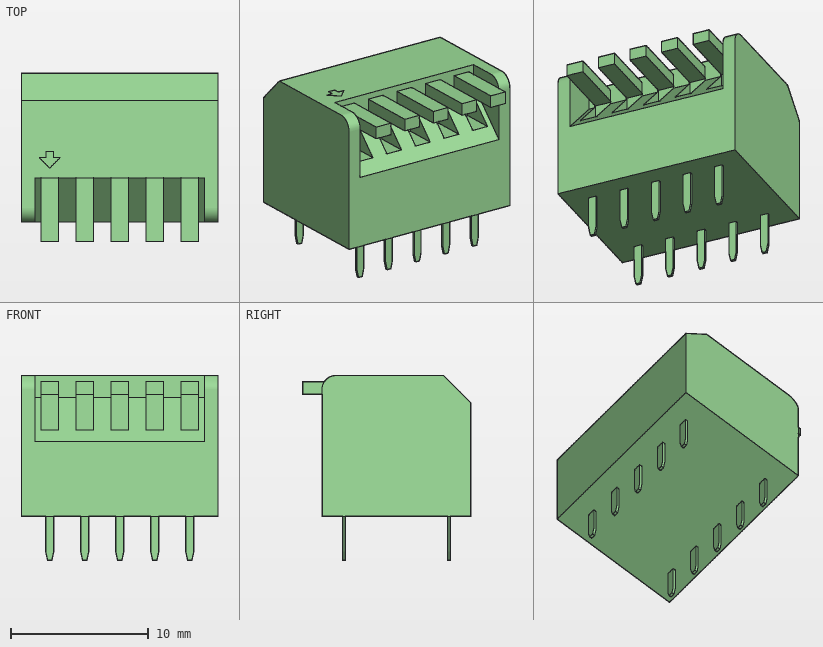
import cadquery as cq

width = 14.26
depth = 10.8
height = 10.22
back_chamfer = 2.0
front_radius = 1.0

side_wall = 0.98
recess_depth = 3.2
recess_back_height = 1.6
recess_back_bottom = height - recess_back_height
recess_front_bottom = recess_back_bottom - recess_depth

switch_count = 5
pitch = 2.54
switch_positions = [(i - (switch_count - 1) / 2) * pitch for i in range(switch_count)]

lever_width = 1.3
lever_height = 0.91
lever_top_drop = 0.45
lever_top = height - lever_top_drop
lever_overhang = 1.41
slot_bottom_drop = 3.95
slot_bottom = height - slot_bottom_drop
slot_undercut = 0.14
slot_back = recess_depth + slot_undercut

pitches_between_rows = 3
pin_row_spacing = pitches_between_rows * pitch
pin_width = 0.6
pin_thickness = 0.2
pin_length = 3.18
pin_tip_width = 0.33
pin_taper_length = 0.63

arrow_gap = 0.71
arrow_head_width = 1.51
arrow_head_length = 0.75
arrow_stem_width = 0.54
arrow_length = 1.21
arrow_engraving = 0.01


def make_housing():
    """Block with a chamfered top back edge and a rounded top front edge."""
    block = cq.Workplane("XY").box(width, depth, height, centered=(True, False, False))
    block = block.edges(">Y and >Z").chamfer(back_chamfer)
    return block.edges("<Y and >Z").fillet(front_radius)


def make_recess():
    """Cutter for the recess between the side walls, open to the front and the top."""
    recess_width = width - 2 * side_wall
    return (
        cq.Workplane("YZ")
        .moveTo(0, recess_front_bottom)
        .lineTo(recess_depth, recess_back_bottom)
        .lineTo(recess_depth, height)
        .lineTo(0, height)
        .close()
        .extrude(recess_width / 2, both=True)
    )


def make_slot(x):
    """Cutter for the slot that a lever slides in."""
    slot = cq.Workplane("XY").box(
        lever_width, slot_back, lever_top - slot_bottom, centered=(True, False, False)
    )
    return slot.translate((x, 0, slot_bottom))


def make_lever(x):
    """Straight bar from the back of its slot to beyond the front face."""
    lever = cq.Workplane("XY").box(
        lever_width, slot_back + lever_overhang, lever_height, centered=(True, False, False)
    )
    return lever.translate((x, -lever_overhang, lever_top - lever_height))


def make_pin(x, y):
    """Flat pin below the housing with a tip tapered in width."""
    taper_start = pin_taper_length - pin_length
    return (
        cq.Workplane("XZ")
        .polyline([
            (-pin_width / 2, 0),
            (pin_width / 2, 0),
            (pin_width / 2, taper_start),
            (pin_tip_width / 2, -pin_length),
            (-pin_tip_width / 2, -pin_length),
            (-pin_width / 2, taper_start),
        ])
        .close()
        .extrude(pin_thickness / 2, both=True)
        .translate((x, y, 0))
    )


def make_arrow(x):
    """Cutter for the arrow pointing towards the levers."""
    return (
        cq.Workplane("XY")
        .polyline([
            (0, 0),
            (arrow_head_width / 2, arrow_head_length),
            (arrow_stem_width / 2, arrow_head_length),
            (arrow_stem_width / 2, arrow_length),
            (-arrow_stem_width / 2, arrow_length),
            (-arrow_stem_width / 2, arrow_head_length),
            (-arrow_head_width / 2, arrow_head_length),
        ])
        .close()
        .extrude(arrow_engraving)
        .translate((x, recess_depth + arrow_gap, height - arrow_engraving))
    )


result = make_housing().cut(make_recess()).cut(make_arrow(switch_positions[0]))

for switch_x in switch_positions:
    result = result.cut(make_slot(switch_x)).union(make_lever(switch_x))
    for row_side in (-1, 1):
        pin_y = (depth + row_side * pin_row_spacing) / 2
        result = result.union(make_pin(switch_x, pin_y))